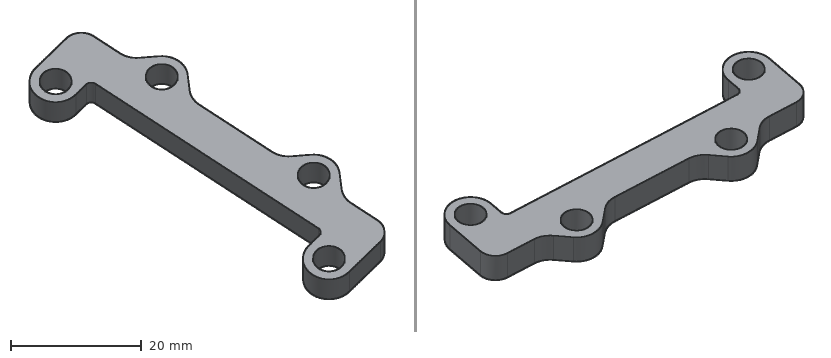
import cadquery as cq
import math

length = 62.0
depth = 19.0
thickness = 5.0

lug_width = 8.0
lug_radius = lug_width / 2
hole_diameter = 4.9
ear_spacing = 30.0

ear_rise = 4.5
recess_depth = 7.5
corner_radius = 3.0
recess_radius = 1.0
ear_blend_radius = 4.0

foot_x = length / 2 - lug_radius
foot_y = lug_radius
ear_x = ear_spacing / 2
ear_y = depth - lug_radius
bar_rear_y = depth - ear_rise
recess_half_width = length / 2 - 2 * lug_radius


def block(x_min, x_max, y_min, y_max):
    """Full-thickness rectangular block."""
    return cq.Workplane("XY").box(
        x_max - x_min, y_max - y_min, thickness, centered=False
    ).translate((x_min, y_min, 0))


def make_frame():
    """Bar with two rounded front feet and a recess between them."""
    frame = block(-length / 2, length / 2, foot_y, bar_rear_y)
    frame = frame.edges("|Z and >Y").fillet(corner_radius)
    feet = (
        cq.Workplane("XY")
        .pushPoints([(-foot_x, foot_y), (foot_x, foot_y)])
        .circle(lug_radius)
        .extrude(thickness)
    )
    recess = block(-recess_half_width, recess_half_width, 0, recess_depth)
    recess = recess.edges("|Z and >Y").fillet(recess_radius)
    return frame.union(feet).cut(recess)


def make_ear(center_x):
    """Round ear with 45 degree flanks blended into the rear edge of the bar."""
    diagonal = math.sqrt(0.5)
    half_blend_angle = math.radians(45) / 2
    flank = lug_radius * diagonal
    foot_reach = 2 * flank + ear_y - bar_rear_y
    blend_tangent = ear_blend_radius * math.tan(half_blend_angle)
    blend_start_x = foot_reach - blend_tangent * diagonal
    blend_start_y = bar_rear_y + blend_tangent * diagonal
    blend_end_x = foot_reach + blend_tangent
    blend_mid_x = blend_end_x - ear_blend_radius * math.sin(half_blend_angle)
    blend_mid_y = bar_rear_y + ear_blend_radius * (1 - math.cos(half_blend_angle))
    root_y = recess_depth + recess_radius
    return (
        cq.Workplane("XY")
        .moveTo(-blend_end_x, root_y)
        .lineTo(blend_end_x, root_y)
        .lineTo(blend_end_x, bar_rear_y)
        .threePointArc((blend_mid_x, blend_mid_y), (blend_start_x, blend_start_y))
        .lineTo(flank, ear_y + flank)
        .threePointArc((0, depth), (-flank, ear_y + flank))
        .lineTo(-blend_start_x, blend_start_y)
        .threePointArc((-blend_mid_x, blend_mid_y), (-blend_end_x, bar_rear_y))
        .close()
        .extrude(thickness)
        .translate((center_x, 0, 0))
    )


plate = make_frame()
for side in (-1, 1):
    plate = plate.union(make_ear(side * ear_x))

hole_centers = [
    (-foot_x, foot_y),
    (foot_x, foot_y),
    (-ear_x, ear_y),
    (ear_x, ear_y),
]
holes = (
    cq.Workplane("XY")
    .pushPoints(hole_centers)
    .circle(hole_diameter / 2)
    .extrude(thickness)
)

result = plate.cut(holes)